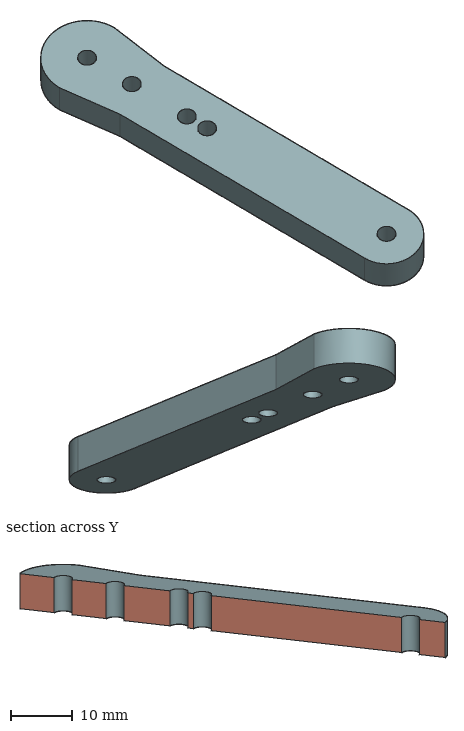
import cadquery as cq

length = 73.5
thickness = 6.0
head_radius = 7.5
bar_radius = 6.0
neck_x = 11.0
hole_diameter = 3.0

tip_x = length - head_radius - bar_radius
hole_positions = [0, 9.0, 20.0, 24.0, tip_x]


def make_lever():
    """Flat lever: round head, tapered neck, straight bar and round tip."""
    return (
        cq.Workplane("XY")
        .moveTo(0, head_radius)
        .lineTo(neck_x, bar_radius)
        .lineTo(tip_x, bar_radius)
        .threePointArc((tip_x + bar_radius, 0), (tip_x, -bar_radius))
        .lineTo(neck_x, -bar_radius)
        .lineTo(0, -head_radius)
        .threePointArc((-head_radius, 0), (0, head_radius))
        .close()
        .extrude(thickness)
    )


def make_holes():
    """Through holes along the centre line."""
    return (
        cq.Workplane("XY")
        .pushPoints([(x, 0) for x in hole_positions])
        .circle(hole_diameter / 2)
        .extrude(thickness)
    )


result = make_lever().cut(make_holes())